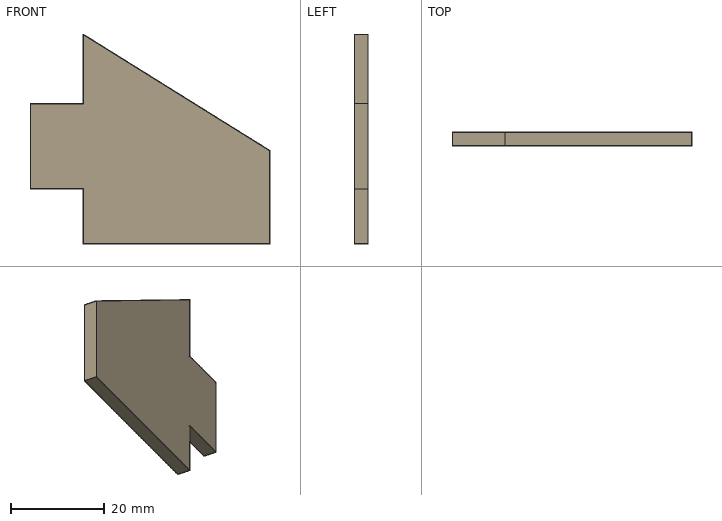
import cadquery as cq

length = 51.45
thickness = 3.0
height = 45.0

tab_length = 11.3
tab_bottom = 11.8
tab_height = 18.3

short_edge_height = 20.0

tab_top = tab_bottom + tab_height
profile = [
    (tab_length, 0),
    (length, 0),
    (length, short_edge_height),
    (tab_length, height),
    (tab_length, tab_top),
    (0, tab_top),
    (0, tab_bottom),
    (tab_length, tab_bottom),
]

result = cq.Workplane("XZ").polyline(profile).close().extrude(-thickness)